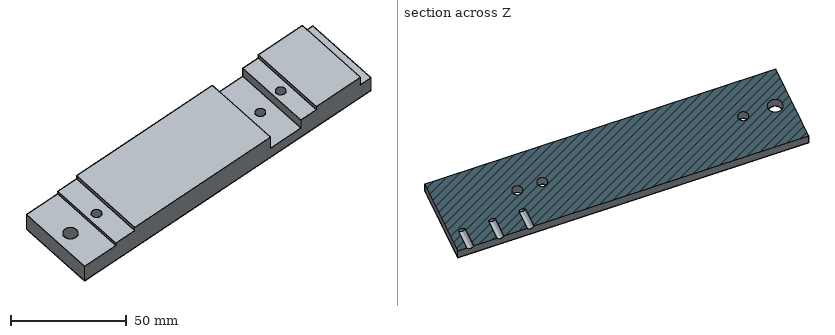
import cadquery as cq
import math

length = 163.2
width = 38.3
height = 13.7

rear_ledge_end = 6.0
rear_pad_end = 31.2
rear_shelf_end = 40.0
channel_end = 57.3
main_pad_end = 134.6
front_shelf_end = 145.4

rear_ledge_level = 8.6
shelf_level = 11.6
channel_level = 6.2
front_ledge_level = 10.0

hole_offset_x = 1.1
small_hole_diameter = 4.5
small_hole_distances = [35.9, 47.5, 140.8]
large_hole_diameter = 6.5
large_hole_distance = 155.7

side_hole_diameter = 3.3
side_hole_level = 5.5
side_hole_first = 5.9
side_hole_spacing = 14.0
side_hole_count = 3
side_hole_depth = 9.8
drill_point_angle = 118.0

rear_y = length / 2


def stepped_body():
    """Extrude the stepped side profile symmetrically across the width."""
    steps = [
        (rear_ledge_end, rear_ledge_level),
        (rear_pad_end, height),
        (rear_shelf_end, shelf_level),
        (channel_end, channel_level),
        (main_pad_end, height),
        (front_shelf_end, shelf_level),
        (length, front_ledge_level),
    ]
    outline = [(rear_y, 0)]
    start = 0
    for end, level in steps:
        outline.append((rear_y - start, level))
        outline.append((rear_y - end, level))
        start = end
    outline.append((rear_y - length, 0))
    return cq.Workplane("YZ").polyline(outline).close().extrude(width / 2, both=True)


def vertical_hole(diameter, distance):
    """Cutter through the full height at a distance from the rear end."""
    return (
        cq.Workplane("XY")
        .center(hole_offset_x, rear_y - distance)
        .circle(diameter / 2)
        .extrude(height)
    )


def side_hole(distance):
    """Drill-shaped cutter entering the -X side, with a conical tip."""
    radius = side_hole_diameter / 2
    tip_length = radius / math.tan(math.radians(drill_point_angle / 2))
    drill = (
        cq.Workplane("XY")
        .polyline([(0, 0), (0, radius), (side_hole_depth, radius), (side_hole_depth + tip_length, 0)])
        .close()
        .revolve(360, (0, 0, 0), (1, 0, 0))
    )
    return drill.translate((-width / 2, rear_y - distance, side_hole_level))


result = stepped_body()
for hole_distance in small_hole_distances:
    result = result.cut(vertical_hole(small_hole_diameter, hole_distance))
result = result.cut(vertical_hole(large_hole_diameter, large_hole_distance))
for index in range(side_hole_count):
    result = result.cut(side_hole(side_hole_first + index * side_hole_spacing))